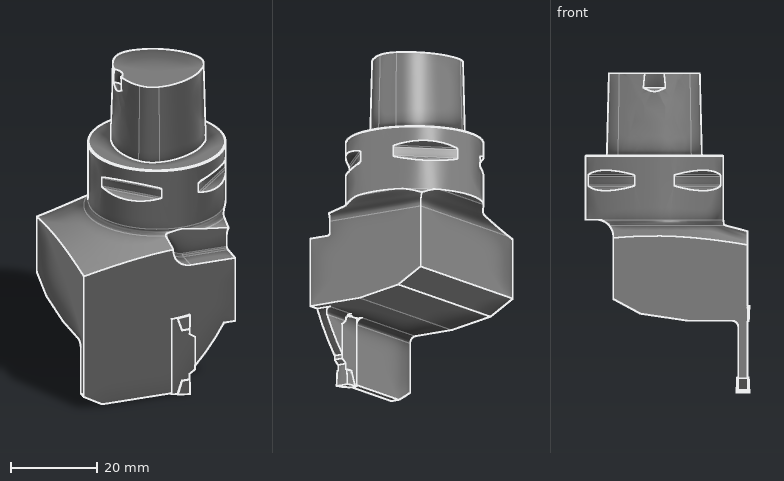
import cadquery as cq
import math


SHANK_HEIGHT = 19.0
SHANK_RADIUS = 11.0
LOBE_HEIGHT = 0.7
TAPER_PER_LENGTH = 1 / 40
LOBE_DIRECTION = 90
LOBE_ANGLE = 44
FLANK_ANGLE = 120 - LOBE_ANGLE
POINTS_PER_SEGMENT = 7

NOTCH_TOP_RADIUS = 2.95
NOTCH_RADIUS = 3.2
NOTCH_AXIS_Y = -11.6
NOTCH_DEPTH = 3.4
NOTCH_POINT_ANGLE = 30

FLANGE_DIAMETER = 32.0
FLANGE_RADIUS = FLANGE_DIAMETER / 2
FLANGE_BOTTOM = -14.95
FLANGE_CHAMFER = 0.2
SLOT_FLAT_DISTANCE = 14.05
SLOT_CENTER_Z = -5.85
SLOT_FLAT_HEIGHT = 2.5
SLOT_MOUTH_HEIGHT = 4.7
SLOT_FILLET = 0.45
SLOT_LENGTH = 22.2

HEAD_LEFT = -9.55
HEAD_RIGHT = 21.6
HEAD_FRONT = -26.1
HEAD_BACK = 11.3
HEAD_BOTTOM = -38.3
FLARE_RADIUS = 3.85
CONE_SLOPE = 15
NECK_FILLET = 1.3
CONE_OUTER_RADIUS = 44.4
LEFT_WALL_BOTTOM = -33.3
BEVEL_X = -3.25
BEVEL_Z = -36.7
BOTTOM_FLAT_START = 7.6

BLADE_THICKNESS = 2.2
BLADE_LEFT = HEAD_RIGHT - BLADE_THICKNESS
BLADE_BOTTOM = -54.25
BLADE_FILLET = 1.5
BLADE_CHAMFER_Y = 4.5
BLADE_CHAMFER_Z = 2.6
FINGER_ROOT_Y = 8.5
FINGER_TIP_Z = -48.1
FINGER_BULGE = 0.4

RELIEF_LEFT = 16.05
RELIEF_FRONT = -4.0
RELIEF_FLOOR = -22.2
RELIEF_FRONT_FILLET = 4.3
RELIEF_SIDE_FILLET = 0.6

INSERT_BOTTOM = SHANK_HEIGHT - 74
INSERT_HALF_LENGTH = 10.1
INSERT_MIDDLE = INSERT_BOTTOM + INSERT_HALF_LENGTH
INSERT_SEAT_Y = -4.45
INSERT_RIDGE_Y = 1.4
RIDGE_HALF_LENGTH = 4.15
RIDGE_RUNOUT = 0.95
TIP_RELIEF = 0.45
INSERT_CENTER_X = (BLADE_LEFT + HEAD_RIGHT) / 2
TIP_WIDTH = 3.1
TIP_ROOT_WIDTH = 2.75
TIP_HEIGHT = 3.6
TIP_TOP_DEPTH = 1.9
TIP_END_DEPTH = 3.0


def polygon_point(radius, degrees, z):
    """Point of the lobed outline whose outward normal is at the given angle from a lobe."""
    angle = math.radians(degrees)
    support = radius + LOBE_HEIGHT * math.cos(3 * angle)
    slope = -3 * LOBE_HEIGHT * math.sin(3 * angle)
    direction = angle + math.radians(LOBE_DIRECTION)
    x = support * math.cos(direction) - slope * math.sin(direction)
    y = support * math.sin(direction) + slope * math.cos(direction)
    return cq.Vector(x, y, z)


def polygon_tangent(degrees):
    direction = math.radians(degrees + LOBE_DIRECTION)
    return cq.Vector(-math.sin(direction), math.cos(direction), 0)


def polygon_wire(radius, z):
    """Alternating lobe and flank curves."""
    edges = []
    start = -LOBE_ANGLE / 2
    for span in 3 * (LOBE_ANGLE, FLANK_ANGLE):
        step = span / (POINTS_PER_SEGMENT - 1)
        points = [polygon_point(radius, start + i * step, z) for i in range(POINTS_PER_SEGMENT)]
        tangents = [polygon_tangent(start), polygon_tangent(start + span)]
        edges.append(cq.Edge.makeSpline(points, tangents=tangents))
        start += span
    return cq.Wire.assembleEdges(edges)


def make_shank():
    top_radius = SHANK_RADIUS - SHANK_HEIGHT * TAPER_PER_LENGTH
    wires = [polygon_wire(SHANK_RADIUS, 0), polygon_wire(top_radius, SHANK_HEIGHT)]
    shank = cq.Workplane(cq.Solid.makeLoft(wires, True))
    shoulder_z = SHANK_HEIGHT - NOTCH_DEPTH
    point_z = shoulder_z - NOTCH_RADIUS * math.tan(math.radians(NOTCH_POINT_ANGLE))
    notch = (
        cq.Workplane("XZ")
        .polyline([(0, point_z), (NOTCH_RADIUS, shoulder_z), (NOTCH_TOP_RADIUS, SHANK_HEIGHT), (0, SHANK_HEIGHT)])
        .close()
        .revolve(360, (0, 0, 0), (0, 1, 0))
        .translate((0, NOTCH_AXIS_Y, 0))
    )
    return shank.cut(notch)


def gripper_slot(angle):
    """Slot with a flat floor and sloping upper and lower sides, at the given angle around Z."""
    mouth_depth = FLANGE_RADIUS - SLOT_FLAT_DISTANCE
    half_flat = SLOT_FLAT_HEIGHT / 2
    half_mouth = SLOT_MOUTH_HEIGHT / 2
    return (
        cq.Workplane("XZ")
        .polyline([(0, -half_flat), (mouth_depth, -half_mouth), (mouth_depth, half_mouth), (0, half_flat)])
        .close()
        .extrude(SLOT_LENGTH / 2, both=True)
        .faces("<X")
        .edges("|Y")
        .fillet(SLOT_FILLET)
        .translate((SLOT_FLAT_DISTANCE, 0, SLOT_CENTER_Z))
        .rotate((0, 0, 0), (0, 0, 1), angle)
    )


def make_flange():
    flange = cq.Workplane("XY").circle(FLANGE_RADIUS).extrude(FLANGE_BOTTOM)
    flange = flange.faces(">Z").chamfer(FLANGE_CHAMFER)
    for angle in (45, 135, 225, 315):
        flange = flange.cut(gripper_slot(angle))
    return flange


def head_envelope():
    """Round space below the flange, bounded above by a fillet that runs out into a cone."""
    slope = math.radians(CONE_SLOPE)
    fillet_x = FLANGE_RADIUS + NECK_FILLET

    def fillet_point(angle):
        return (fillet_x - NECK_FILLET * math.cos(angle), FLANGE_BOTTOM - NECK_FILLET * math.sin(angle))

    sweep = math.pi / 2 - slope
    cone_start = fillet_point(sweep)
    cone_end_z = cone_start[1] - (CONE_OUTER_RADIUS - cone_start[0]) * math.tan(slope)
    return (
        cq.Workplane("XZ")
        .moveTo(0, FLANGE_BOTTOM)
        .lineTo(FLANGE_RADIUS, FLANGE_BOTTOM)
        .threePointArc(fillet_point(sweep / 2), cone_start)
        .lineTo(CONE_OUTER_RADIUS, cone_end_z)
        .lineTo(CONE_OUTER_RADIUS, INSERT_BOTTOM)
        .lineTo(0, INSERT_BOTTOM)
        .close()
        .revolve(360, (0, 0, 0), (0, 1, 0))
    )


def head_across_x():
    """Head and blade outline in X and Z, extruded along Y."""
    flare_end = FLANGE_BOTTOM - FLARE_RADIUS
    flare_mid = FLARE_RADIUS * (1 - math.sqrt(0.5))
    fillet_end = (BLADE_LEFT, HEAD_BOTTOM - BLADE_FILLET)
    fillet_mid = BLADE_FILLET * (1 - math.sqrt(0.5))
    return (
        cq.Workplane("XZ", origin=(0, HEAD_FRONT, 0))
        .moveTo(HEAD_RIGHT, FLANGE_BOTTOM)
        .lineTo(HEAD_LEFT - FLARE_RADIUS, FLANGE_BOTTOM)
        .threePointArc((HEAD_LEFT - flare_mid, FLANGE_BOTTOM - flare_mid), (HEAD_LEFT, flare_end))
        .lineTo(HEAD_LEFT, LEFT_WALL_BOTTOM)
        .lineTo(BEVEL_X, BEVEL_Z)
        .lineTo(BOTTOM_FLAT_START, HEAD_BOTTOM)
        .lineTo(BLADE_LEFT - BLADE_FILLET, HEAD_BOTTOM)
        .threePointArc((BLADE_LEFT - fillet_mid, HEAD_BOTTOM - fillet_mid), fillet_end)
        .lineTo(BLADE_LEFT, BLADE_BOTTOM)
        .lineTo(HEAD_RIGHT, BLADE_BOTTOM)
        .close()
        .extrude(HEAD_FRONT - HEAD_BACK - FLARE_RADIUS)
    )


def head_across_y():
    """Head and blade outline in Y and Z, extruded along X."""
    flare_end = FLANGE_BOTTOM - FLARE_RADIUS
    flare_mid = FLARE_RADIUS * (1 - math.sqrt(0.5))
    finger_start = (FINGER_ROOT_Y, HEAD_BOTTOM)
    finger_tip = (INSERT_RIDGE_Y, FINGER_TIP_Z)
    start_x = HEAD_LEFT - FLARE_RADIUS
    return (
        cq.Workplane("YZ", origin=(start_x, 0, 0))
        .moveTo(HEAD_FRONT, FLANGE_BOTTOM)
        .lineTo(HEAD_BACK + FLARE_RADIUS, FLANGE_BOTTOM)
        .threePointArc((HEAD_BACK + flare_mid, FLANGE_BOTTOM - flare_mid), (HEAD_BACK, flare_end))
        .lineTo(HEAD_BACK, HEAD_BOTTOM)
        .lineTo(*finger_start)
        .sagittaArc(finger_tip, FINGER_BULGE)
        .lineTo(INSERT_SEAT_Y, FINGER_TIP_Z)
        .lineTo(INSERT_SEAT_Y, BLADE_BOTTOM)
        .lineTo(HEAD_FRONT + BLADE_CHAMFER_Y, BLADE_BOTTOM)
        .lineTo(HEAD_FRONT, BLADE_BOTTOM + BLADE_CHAMFER_Z)
        .close()
        .extrude(HEAD_RIGHT - start_x)
    )


def corner_relief():
    """Step open to the back, the right and above, with rounded inner floor edges."""
    relief = cq.Workplane("XY").box(
        HEAD_RIGHT - RELIEF_LEFT,
        HEAD_BACK + FLARE_RADIUS - RELIEF_FRONT,
        FLANGE_BOTTOM - RELIEF_FLOOR,
        centered=False,
    )
    relief = relief.translate((RELIEF_LEFT, RELIEF_FRONT, RELIEF_FLOOR))
    relief = relief.faces("<Y").edges("<Z").fillet(RELIEF_FRONT_FILLET)
    return relief.faces("<X").edges("<Z").fillet(RELIEF_SIDE_FILLET)


def blade_fillet_gap():
    """Gap in the blade fillet that leaves the side of the insert clear."""
    gap = cq.Workplane("XY").box(BLADE_FILLET, -INSERT_SEAT_Y, BLADE_FILLET, centered=False)
    return gap.translate((BLADE_LEFT - BLADE_FILLET, INSERT_SEAT_Y, HEAD_BOTTOM - BLADE_FILLET))


def make_insert_tip():
    """Lower cutting tip, wider than the insert body and flaring toward its end."""
    root_z = INSERT_BOTTOM + TIP_HEIGHT
    end_z = INSERT_BOTTOM
    half_root = TIP_ROOT_WIDTH / 2
    half_end = TIP_WIDTH / 2
    taper = (
        cq.Workplane("XZ")
        .polyline([(-half_root, root_z), (half_root, root_z), (half_end, end_z), (-half_end, end_z)])
        .close()
        .extrude(-INSERT_SEAT_Y)
        .translate((INSERT_CENTER_X, 0, 0))
    )
    end_rise = TIP_RELIEF * TIP_END_DEPTH / -INSERT_SEAT_Y
    side = (
        cq.Workplane("YZ", origin=(INSERT_CENTER_X, 0, 0))
        .polyline([(0, root_z), (-TIP_TOP_DEPTH, root_z), (-TIP_END_DEPTH, end_z + end_rise), (0, end_z)])
        .close()
        .extrude(TIP_WIDTH, both=True)
    )
    return taper.intersect(side)


def make_insert():
    ridge_end = INSERT_MIDDLE - RIDGE_HALF_LENGTH
    lower_half = (
        cq.Workplane("YZ", origin=(BLADE_LEFT, 0, 0))
        .moveTo(INSERT_SEAT_Y, INSERT_MIDDLE)
        .lineTo(INSERT_RIDGE_Y, INSERT_MIDDLE)
        .lineTo(INSERT_RIDGE_Y, ridge_end)
        .lineTo(0, ridge_end - RIDGE_RUNOUT)
        .lineTo(0, INSERT_BOTTOM)
        .lineTo(INSERT_SEAT_Y, INSERT_BOTTOM + TIP_RELIEF)
        .close()
        .extrude(BLADE_THICKNESS)
        .union(make_insert_tip())
    )
    upper_half = lower_half.mirror("XY", (0, 0, INSERT_MIDDLE))
    return lower_half.union(upper_half).clean()


def make_holder(insert):
    head = head_across_x().intersect(head_across_y()).intersect(head_envelope())
    head = head.cut(corner_relief()).cut(blade_fillet_gap())
    return make_shank().union(make_flange()).union(head).cut(insert)


cutting_insert = make_insert()
holder = make_holder(cutting_insert)

result = cq.Compound.makeCompound([*holder.solids().vals(), *cutting_insert.solids().vals()])